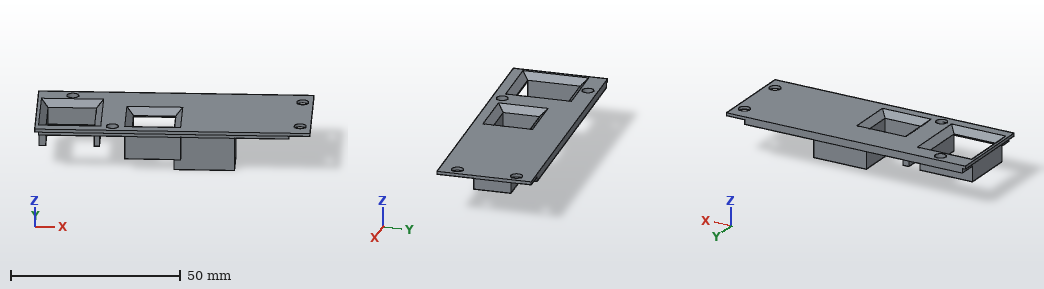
import cadquery as cq


panel_length = 81.4
panel_width = 29.0
panel_thickness = 1.0
backing_left = 1.05
backing_right = 75.1
backing_front = 1.2
backing_bottom = -2.45

hole_diameter = 3.5
end_hole_x = 78.3
hole_centers = [(10.25, 25.9), (22.9, 3.2), (end_hole_x, 5.45), (end_hole_x, 23.6)]

bevel = 2.0
large_left, large_right = 3.1, 17.4
large_front, large_back = 5.3, 21.4
small_left, small_right = 28.55, 41.0
small_front, small_back = 5.1, 16.3

large_skirt_bottom = -7.5
large_skirt_wall = 1.55

small_skirt_bottom = -10.4

block_length = 17.9
block_front = 4.8
block_bottom = -14.3


def box_between(left, right, front, back, bottom, top):
    """Box given by its limits along X, Y and Z."""
    box = cq.Workplane("XY").box(right - left, back - front, top - bottom, centered=False)
    return box.translate((left, front, bottom))


def window_cutter(left, right, front, back):
    """Straight opening through everything below, plus its bevel at the top face."""
    center = ((left + right) / 2, (front + back) / 2)
    length = right - left
    width = back - front
    opening = box_between(left, right, front, back, block_bottom, 0)
    flare = (
        cq.Workplane("XY")
        .center(*center)
        .rect(length + 2 * bevel, width + 2 * bevel)
        .workplane(offset=-bevel)
        .rect(length, width)
        .loft(ruled=True)
    )
    return opening.union(flare)


panel = box_between(0, panel_length, 0, panel_width, -panel_thickness, 0)
backing = box_between(
    backing_left, backing_right, backing_front, panel_width, backing_bottom, -panel_thickness
)

large_skirt = box_between(
    backing_left, large_right + large_skirt_wall,
    large_front, large_back + large_skirt_wall,
    large_skirt_bottom, backing_bottom,
)
small_skirt = box_between(
    small_left - bevel, small_right + bevel,
    small_front - bevel, small_back,
    small_skirt_bottom, backing_bottom,
)
block = box_between(
    small_right, small_right + block_length,
    block_front, small_back,
    block_bottom, backing_bottom,
)

holes = (
    cq.Workplane("XY")
    .pushPoints(hole_centers)
    .circle(hole_diameter / 2)
    .extrude(backing_bottom)
)

result = (
    panel.union(backing)
    .union(large_skirt)
    .union(small_skirt)
    .union(block)
    .cut(window_cutter(large_left, large_right, large_front, large_back))
    .cut(window_cutter(small_left, small_right, small_front, small_back))
    .cut(holes)
)